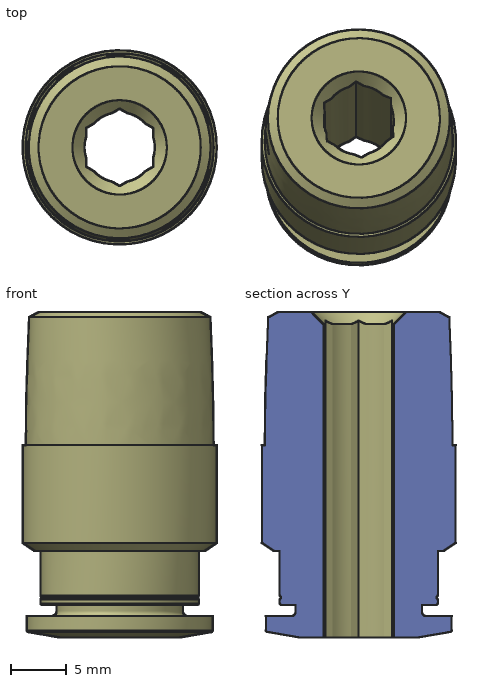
import cadquery as cq
import math

total_height = 29.3
sleeve_bottom = 7.8
sleeve_top = 17.32

flange_radius = 16.8 / 2
flange_top = 1.95
underside_radius = 5.33
underside_height = 0.5
flange_edge_chamfer = 0.15

neck_radius = 11.4 / 2
neck_fillet = 0.4

stem_radius = 14.3 / 2
collar_bottom = 2.93
collar_top = 3.6
stem_bottom = 3.63
rim_bevel = 0.15

sleeve_radius = 17.5 / 2
sleeve_bevel_width = 1.08
sleeve_bevel_height = 0.73

grip_bottom_radius = 8.47
grip_top_radius = 8.17
grip_bulge = 0.05
top_bevel_width = 0.88
top_bevel_height = 0.47

hex_across_flats = 6.0
relief_diameter = 6.3
lead_in_diameter = 8.5


def make_body():
    """Revolve the outer half profile about the Z axis."""
    fillet_center_radius = neck_radius + neck_fillet
    fillet_center_height = flange_top + neck_fillet
    fillet_reach = neck_fillet * math.cos(math.pi / 4)
    grip_top = total_height - top_bevel_height
    grip_mid_radius = (grip_bottom_radius + grip_top_radius) / 2 + grip_bulge
    profile = (
        cq.Workplane("XZ")
        .moveTo(0, 0)
        .lineTo(underside_radius, 0)
        .lineTo(flange_radius - flange_edge_chamfer, underside_height)
        .lineTo(flange_radius, underside_height + flange_edge_chamfer)
        .lineTo(flange_radius, flange_top)
        .lineTo(fillet_center_radius, flange_top)
        .threePointArc(
            (fillet_center_radius - fillet_reach, fillet_center_height - fillet_reach),
            (neck_radius, fillet_center_height),
        )
        .lineTo(neck_radius, collar_bottom)
        .lineTo(stem_radius - rim_bevel, collar_bottom)
        .lineTo(stem_radius, collar_bottom + rim_bevel)
        .lineTo(stem_radius, collar_top - rim_bevel)
        .lineTo(stem_radius - rim_bevel, collar_top)
        .lineTo(stem_radius - rim_bevel, stem_bottom)
        .lineTo(stem_radius, stem_bottom + rim_bevel)
        .lineTo(stem_radius, sleeve_bottom)
        .lineTo(sleeve_radius - sleeve_bevel_width, sleeve_bottom)
        .lineTo(sleeve_radius, sleeve_bottom + sleeve_bevel_height)
        .lineTo(sleeve_radius, sleeve_top)
        .lineTo(grip_bottom_radius, sleeve_top)
        .threePointArc(
            (grip_mid_radius, (sleeve_top + grip_top) / 2),
            (grip_top_radius, grip_top),
        )
        .lineTo(grip_top_radius - top_bevel_width, total_height)
        .lineTo(0, total_height)
        .close()
    )
    return profile.revolve(360, (0, 0), (0, 1))


def make_socket():
    """Build the through hexagon, its round relief and the conical lead-in."""
    hex_across_corners = hex_across_flats / math.cos(math.pi / 6)
    hexagon = (
        cq.Workplane("XY")
        .transformed(rotate=(0, 0, 30))
        .polygon(6, hex_across_corners)
        .extrude(total_height)
    )
    relief = cq.Workplane("XY").circle(relief_diameter / 2).extrude(total_height)
    lead_in_radius = lead_in_diameter / 2
    lead_in = (
        cq.Workplane("XZ")
        .moveTo(0, total_height)
        .lineTo(lead_in_radius, total_height)
        .lineTo(0, total_height - lead_in_radius)
        .close()
        .revolve(360, (0, 0), (0, 1))
    )
    return hexagon.union(relief).union(lead_in)


result = make_body().cut(make_socket())